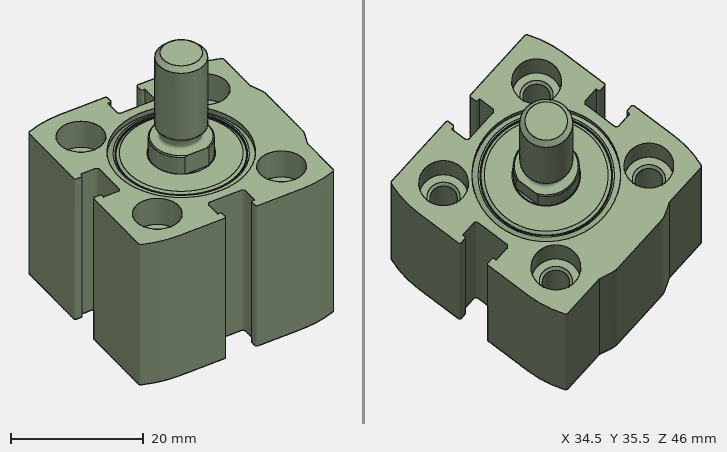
import cadquery as cq
import math

OVERALL_HEIGHT = 46.0
BODY_HEIGHT = 27.0
HALF_WIDTH = 17.25

SIDE_FLAT_HALF = 10.8
SIDE_ARC_RADIUS = 17.25
CORNER_FILLET = 0.45
PAD_HEIGHT = 1.0
PAD_HALF_BASE = 8.3
PAD_HALF_TOP = 5.75
PAD_FILLET = 3.0

SLOT_DEPTH = 4.5
SLOT_HALF_WIDTH = 3.25
SLOT_MOUTH_HALF = 2.6
SLOT_LIP = 1.45
SLOT_CORNER_FILLET = 0.5
LIP_FILLET = 0.3
SLOT_TURNS = (-90, 0, 90)

HOLE_OFFSET = 11.0
HOLE_DIAMETER = 4.15
HOLE_RIM_DIAMETER = 5.0
COUNTERBORE_DIAMETER = 7.5
COUNTERBORE_DEPTH = 5.0

RECESS_DIAMETER = 22.4
RECESS_DEPTH = 0.87
RING_CREST_DIAMETER = 20.55
RING_CREST_DEPTH = 0.3
RING_INNER_DIAMETER = 20.0
RING_INNER_DEPTH = 0.35
CAP_FOOT_DIAMETER = 19.7
CAP_FOOT_DEPTH = 0.55
CAP_BEVEL_DIAMETER = 18.68
CAP_BEVEL_DEPTH = 0.28
CAP_FACE_DIAMETER = 18.05
CAP_FACE_DEPTH = 0.25

ROD_DIAMETER = 10.0
ROD_RIM_CHAMFER = 0.2
ROD_BOTTOM = 5.0
COLLAR_TOP = 30.0
COLLAR_FLAT_HALF = 4.5
FLAT_END_DEPTH = 0.28
FLAT_END_DROP = 0.3
THREAD_DIAMETER = 8.0
THREAD_BOTTOM = 32.35
THREAD_LOWER_CHAMFER = 0.65
NECK_DIAMETER = 6.4
NECK_FILLET = 0.6
NECK_UPPER_FILLET_HEIGHT = 0.5
TIP_DIAMETER = 6.4

CAP_FACE_Z = BODY_HEIGHT - CAP_FACE_DEPTH


def fillet_upright_edges(body, points, radius):
    """Round the full-height edges that stand at the given (x, y) points."""
    tolerance = 0.005
    edges = [
        edge
        for edge in body.edges("|Z").vals()
        if any(math.dist((edge.Center().x, edge.Center().y), p) < tolerance for p in points)
    ]
    return body.newObject(edges).fillet(radius)


def body_block():
    """Square block with bowed side ends and a raised pad on the +Y side."""
    arc_center_x = HALF_WIDTH - SIDE_ARC_RADIUS
    end_angle = math.asin((HALF_WIDTH - SIDE_FLAT_HALF) / SIDE_ARC_RADIUS)
    corner_x = arc_center_x + SIDE_ARC_RADIUS * math.cos(end_angle)
    middle_x = arc_center_x + SIDE_ARC_RADIUS * math.cos(end_angle / 2)
    middle_y = SIDE_FLAT_HALF + SIDE_ARC_RADIUS * math.sin(end_angle / 2)
    pad_y = HALF_WIDTH + PAD_HEIGHT

    block = (
        cq.Workplane("XY")
        .moveTo(-corner_x, -HALF_WIDTH)
        .lineTo(corner_x, -HALF_WIDTH)
        .threePointArc((middle_x, -middle_y), (HALF_WIDTH, -SIDE_FLAT_HALF))
        .lineTo(HALF_WIDTH, SIDE_FLAT_HALF)
        .threePointArc((middle_x, middle_y), (corner_x, HALF_WIDTH))
        .lineTo(PAD_HALF_BASE, HALF_WIDTH)
        .lineTo(PAD_HALF_TOP, pad_y)
        .lineTo(-PAD_HALF_TOP, pad_y)
        .lineTo(-PAD_HALF_BASE, HALF_WIDTH)
        .lineTo(-corner_x, HALF_WIDTH)
        .threePointArc((-middle_x, middle_y), (-HALF_WIDTH, SIDE_FLAT_HALF))
        .lineTo(-HALF_WIDTH, -SIDE_FLAT_HALF)
        .threePointArc((-middle_x, -middle_y), (-corner_x, -HALF_WIDTH))
        .close()
        .extrude(BODY_HEIGHT)
    )
    corners = [(sx * corner_x, sy * HALF_WIDTH) for sx in (-1, 1) for sy in (-1, 1)]
    block = fillet_upright_edges(block, corners, CORNER_FILLET)
    pad_corners = [(-PAD_HALF_TOP, pad_y), (PAD_HALF_TOP, pad_y)]
    return fillet_upright_edges(block, pad_corners, PAD_FILLET)


def cut_t_slot(body, turn):
    """Cut one T-slot; with no turn it opens toward -Y."""
    floor_y = -HALF_WIDTH + SLOT_DEPTH
    lip_y = -HALF_WIDTH + SLOT_LIP
    channel = (
        cq.Workplane("XY")
        .center(0, (floor_y + lip_y) / 2)
        .rect(2 * SLOT_HALF_WIDTH, floor_y - lip_y)
        .extrude(BODY_HEIGHT)
        .edges("|Z and >Y")
        .fillet(SLOT_CORNER_FILLET)
    )
    mouth = (
        cq.Workplane("XY")
        .center(0, -HALF_WIDTH)
        .rect(2 * SLOT_MOUTH_HALF, 2 * SLOT_LIP)
        .extrude(BODY_HEIGHT)
    )
    slot = channel.union(mouth).rotate((0, 0, 0), (0, 0, 1), turn)
    angle = math.radians(turn)
    lip_corners = [
        (x * math.cos(angle) - y * math.sin(angle), x * math.sin(angle) + y * math.cos(angle))
        for x in (-SLOT_MOUTH_HALF, SLOT_MOUTH_HALF)
        for y in (-HALF_WIDTH, lip_y)
    ]
    return fillet_upright_edges(body.cut(slot), lip_corners, LIP_FILLET)


def mounting_hole():
    """Counterbored through hole with a 45 degree rim, as a solid to cut away."""
    radius = HOLE_DIAMETER / 2
    rim_radius = HOLE_RIM_DIAMETER / 2
    bore_radius = COUNTERBORE_DIAMETER / 2
    seat_z = BODY_HEIGHT - COUNTERBORE_DEPTH
    return (
        cq.Workplane("XZ")
        .polyline([
            (0, 0),
            (radius, 0),
            (radius, seat_z - (rim_radius - radius)),
            (rim_radius, seat_z),
            (bore_radius, seat_z),
            (bore_radius, BODY_HEIGHT),
            (0, BODY_HEIGHT),
        ])
        .close()
        .revolve(360, (0, 0, 0), (0, 1, 0))
    )


def top_recess():
    """Material removed above the retaining ring, the end cap and the bore rim."""
    rod_radius = ROD_DIAMETER / 2
    ring_inner_radius = RING_INNER_DIAMETER / 2
    recess_radius = RECESS_DIAMETER / 2
    return (
        cq.Workplane("XZ")
        .polyline([
            (0, CAP_FACE_Z - ROD_RIM_CHAMFER),
            (rod_radius, CAP_FACE_Z - ROD_RIM_CHAMFER),
            (rod_radius + ROD_RIM_CHAMFER, CAP_FACE_Z),
            (CAP_FACE_DIAMETER / 2, CAP_FACE_Z),
            (CAP_BEVEL_DIAMETER / 2, BODY_HEIGHT - CAP_BEVEL_DEPTH),
            (CAP_FOOT_DIAMETER / 2, BODY_HEIGHT - CAP_FOOT_DEPTH),
            (ring_inner_radius, BODY_HEIGHT - CAP_FOOT_DEPTH),
            (ring_inner_radius, BODY_HEIGHT - RING_INNER_DEPTH),
            (RING_CREST_DIAMETER / 2, BODY_HEIGHT - RING_CREST_DEPTH),
            (recess_radius, BODY_HEIGHT - RECESS_DEPTH),
            (recess_radius, BODY_HEIGHT),
            (0, BODY_HEIGHT),
        ])
        .close()
        .revolve(360, (0, 0, 0), (0, 1, 0))
    )


def make_housing():
    """Cylinder housing with its end cap and the blind bore for the rod."""
    body = body_block()
    for turn in SLOT_TURNS:
        body = cut_t_slot(body, turn)
    for x in (-HOLE_OFFSET, HOLE_OFFSET):
        for y in (-HOLE_OFFSET, HOLE_OFFSET):
            body = body.cut(mounting_hole().translate((x, y, 0)))
    bore = (
        cq.Workplane("XY", origin=(0, 0, ROD_BOTTOM))
        .circle(ROD_DIAMETER / 2)
        .extrude(BODY_HEIGHT - ROD_BOTTOM)
    )
    return body.cut(top_recess()).cut(bore)


def rod_turning():
    """Turned shape of the rod: shaft, collar, undercut neck and thread."""
    rod_radius = ROD_DIAMETER / 2
    thread_radius = THREAD_DIAMETER / 2
    tip_radius = TIP_DIAMETER / 2
    neck_radius = NECK_DIAMETER / 2
    shoulder_radius = thread_radius - THREAD_LOWER_CHAMFER
    shoulder_z = THREAD_BOTTOM - THREAD_LOWER_CHAMFER
    return (
        cq.Workplane("XZ")
        .moveTo(0, ROD_BOTTOM)
        .lineTo(rod_radius, ROD_BOTTOM)
        .lineTo(rod_radius, COLLAR_TOP - ROD_RIM_CHAMFER)
        .lineTo(rod_radius - ROD_RIM_CHAMFER, COLLAR_TOP)
        .lineTo(neck_radius + NECK_FILLET, COLLAR_TOP)
        .tangentArcPoint((neck_radius, COLLAR_TOP + NECK_FILLET), relative=False)
        .lineTo(neck_radius, shoulder_z - NECK_UPPER_FILLET_HEIGHT)
        .tangentArcPoint((shoulder_radius, shoulder_z), relative=False)
        .lineTo(thread_radius, THREAD_BOTTOM)
        .lineTo(thread_radius, OVERALL_HEIGHT - (thread_radius - tip_radius))
        .lineTo(tip_radius, OVERALL_HEIGHT)
        .lineTo(0, OVERALL_HEIGHT)
        .close()
        .revolve(360, (0, 0, 0), (0, 1, 0))
    )


def flat_cutter():
    """Cutter for the +X wrench flat, sloping outward at its lower end."""
    rod_radius = ROD_DIAMETER / 2
    flat_end_z = CAP_FACE_Z - FLAT_END_DEPTH
    return (
        cq.Workplane("XZ")
        .polyline([
            (COLLAR_FLAT_HALF, COLLAR_TOP),
            (COLLAR_FLAT_HALF, flat_end_z),
            (rod_radius, flat_end_z - FLAT_END_DROP),
            (rod_radius, COLLAR_TOP),
        ])
        .close()
        .extrude(rod_radius, both=True)
    )


def make_piston_rod():
    """Piston rod with two wrench flats across its collar."""
    flat = flat_cutter()
    return rod_turning().cut(flat).cut(flat.mirror("YZ"))


housing = make_housing()
piston_rod = make_piston_rod()

result = cq.Compound.makeCompound([housing.solids().val(), piston_rod.solids().val()])